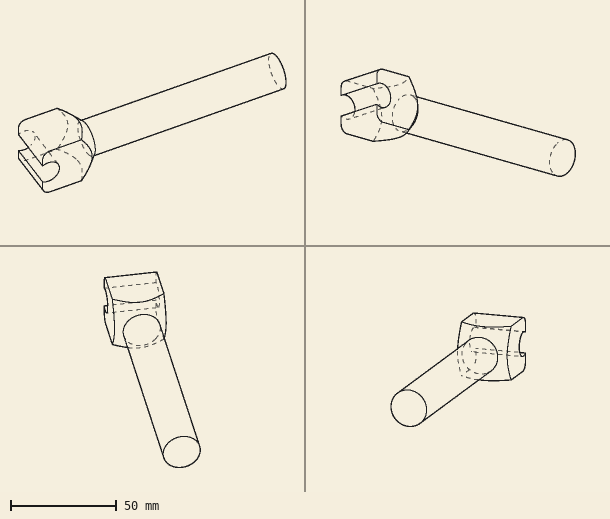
import cadquery as cq

total_length = 132.0
head_width = 25.0
head_height = 26.4
head_length = 30.0
shaft_diameter = 18.0
lip_radius = 4.0
bore_radius = 6.0
bore_setback = 3.0

shaft_radius = shaft_diameter / 2
shaft_length = total_length - head_length

head = (
    cq.Workplane("XY")
    .box(head_width, head_length, head_height, centered=(True, False, True))
    .edges("|X and <Y")
    .fillet(lip_radius)
)

cone_envelope = (
    cq.Workplane("YZ")
    .polyline([(0, 0), (0, shaft_radius + head_length), (head_length, shaft_radius), (head_length, 0)])
    .close()
    .revolve(360, (0, 0), (1, 0))
)
head = head.intersect(cone_envelope)

bore = (
    cq.Workplane("YZ")
    .center(bore_setback, 0)
    .circle(bore_radius)
    .extrude(head_width, both=True)
)
head = head.cut(bore)

shaft = (
    cq.Workplane("XZ", origin=(0, head_length, 0))
    .circle(shaft_radius)
    .extrude(-shaft_length)
)

result = head.union(shaft)